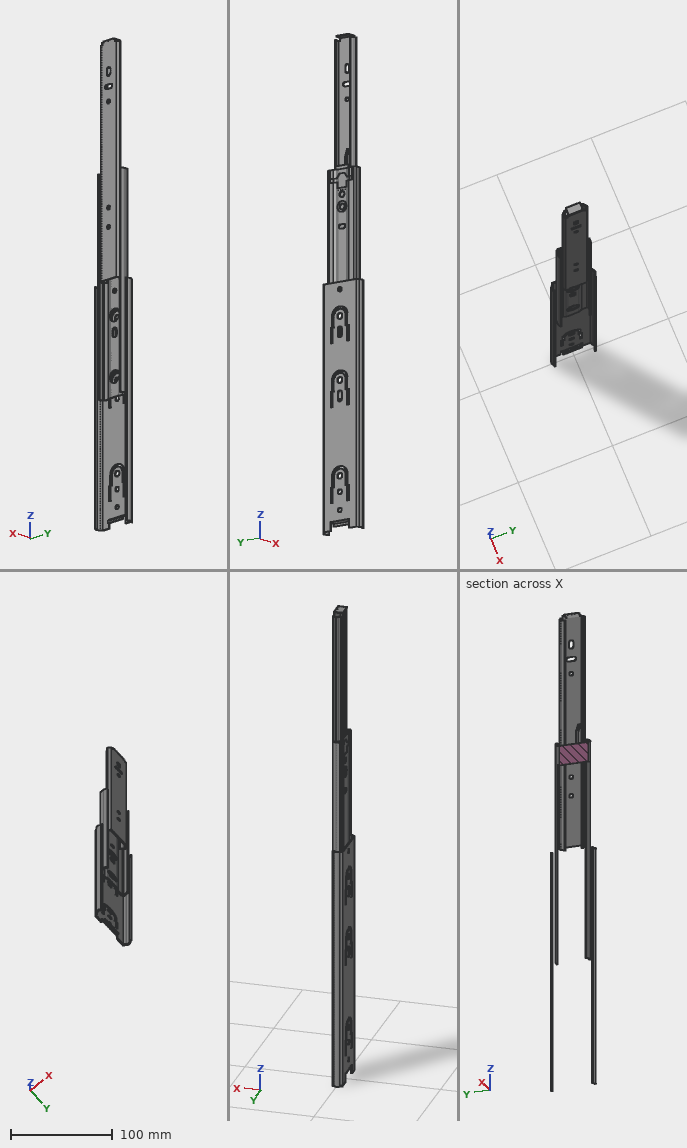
import cadquery as cq

SHEET = 1.25

OUTER_TOP = 250.5
OUTER_BACK = -6.5
OUTER_LIP_X = 4.0
OUTER_WEB_HALF = 20.5
OUTER_RACE_EDGE = 22.0
OUTER_HALF = 23.5
OUTER_RACE_START = -3.75
OUTER_RACE_END = 2.25
FOOT_LENGTH = 1.0
NOTCH_HALF = 11.5
NOTCH_TOP = 10.0
TAB_HALF = 10.0
TAB_BOTTOM = 5.5
TAB_BEND = 8.0
TAB_SHIFT = 2.5

TONGUE_Z = (216.0, 151.5, 55.0)
ARCH_RADIUS = 8.5
SLOT_WIDTH = 2.5
UPPER_LEG = 10.5
LEG_SPREAD = 10.0
LOWER_LEG = 26.0
TONGUE_HOLE = 6.0
LOWER_HOLE_DROP = 16.0
LOWER_HOLE = 5.0
LONG_HOLE = 11.0
OUTER_END_HOLES = (20.5, 243.0)
END_HOLE = 4.5

MIDDLE_BOTTOM = 133.5
MIDDLE_TOP = 365.0
MIDDLE_BACK = -4.25
MIDDLE_LIP_X = 5.5
MIDDLE_HALF = 17.75
MIDDLE_WEB_HALF = 15.75
MIDDLE_CORNER_X = -2.5
MIDDLE_CURL_START = 1.5
MIDDLE_LIP_HALF = 16.0
GROOVE_DEPTH = 1.25
GROOVE_HALF = 9.75
GROOVE_FLOOR_HALF = 5.5
GROOVE_BEND_HALF = 7.0
GROOVE_BEND = 0.25
MIDDLE_HOLES = ((154.5, 13.0), (218.0, 13.0), (243.0, 4.5), (339.5, 6.0))
MIDDLE_SLOT_LENGTH = 10.0
MIDDLE_SLOT_WIDTH = 6.0
CROSS_SLOT_Z = 307.0
CROSS_SLOT_LENGTH = 8.0
CROSS_SLOT_WIDTH = 4.5

COUNTERBORE_Z = 327.0
COUNTERBORE_DIAMETER = 11.0
COUNTERBORE_DEPTH = 0.5
COUNTERBORE_HOLE = 6.0

INNER_BOTTOM = 253.0
INNER_TOP = 496.5
INNER_BACK = 6.5
INNER_LIP_X = -1.25
INNER_HALF = 13.25
INNER_SHOULDER_X = 3.5
INNER_WEB_HALF = 11.0
INNER_CURL_START = 2.5
INNER_CURL_X = 1.0
INNER_CURL_HALF = 12.0
INNER_LIP_HALF = 9.75
SLIDE_LENGTH = 500
END_RISER_HALF = 9.0
END_TAB_HALF = 7.5
END_TAB_TIP_X = -2.5
END_TAB_SHEET = 1.0
TALL_SLOT_Z = 467.5
TALL_SLOT_LENGTH = 9.0
WIDE_SLOT_Z = 452.0
WIDE_SLOT_LENGTH = 10.0
INNER_SLOT_WIDTH = 4.5
INNER_HOLES = (436.5, CROSS_SLOT_Z, COUNTERBORE_Z)
INNER_HOLE = 4.0

RETAINER_BOTTOM = 344.0
RETAINER_WEB = 0.5
RETAINER_FRONT = 3.0
RETAINER_HALF = 15.5
RETAINER_GAP = 0.75

BUMPER_SKIN = 0.5
BUMPER_HALF = 13.5
RECESS_BOTTOM = 352.0
FLOOR_RECESS_BOTTOM = 346.0
BUMPER_BOTTOM = 356.0
BUMPER_ARCH_HALF = 6.5
BUMPER_ARCH_TOP_HALF = 3.0
BUMPER_ARCH_TOP = 360.5
HEAD_HALF = 8.0
HEAD_TOP = 368.5
HEAD_THICKNESS = 1.0
LEVER_WIDTH = 2.5
LEVER_THICKNESS = 1.0
LEVER_BOTTOM = 360.0
LEVER_Y = -2.5
LEVER_TIP_Y = -5.0
LEVER_KNEE = 377.0
LEVER_TOP = 384.5

GROOVE_X = MIDDLE_BACK + GROOVE_DEPTH
RETAINER_X = GROOVE_X + SHEET
LEVER_X = RETAINER_X + RETAINER_WEB
HEAD_X = (GROOVE_X, GROOVE_X + HEAD_THICKNESS)
REACH = 100


def block(x_range, y_range, z_range):
    """Axis-aligned box between the given limits."""
    sizes = [high - low for low, high in (x_range, y_range, z_range)]
    lows = (x_range[0], y_range[0], z_range[0])
    return cq.Workplane("XY").box(*sizes, centered=False).translate(lows)


def outer_outline():
    """Closed outline round the outer rail, with a rounded ball race along each side."""
    race_x = (OUTER_RACE_START + OUTER_RACE_END) / 2
    return (
        cq.Workplane("XY")
        .moveTo(OUTER_BACK, 0)
        .lineTo(OUTER_BACK, OUTER_WEB_HALF)
        .lineTo(OUTER_RACE_START, OUTER_RACE_EDGE)
        .threePointArc((race_x, OUTER_HALF), (OUTER_RACE_END, OUTER_RACE_EDGE))
        .lineTo(OUTER_LIP_X, OUTER_RACE_EDGE)
        .lineTo(OUTER_LIP_X, 0)
        .mirrorX()
    )


def middle_outline():
    """Closed outline round the middle rail, with a shallow groove along its web."""
    return (
        cq.Workplane("XY")
        .moveTo(GROOVE_X, 0)
        .lineTo(GROOVE_X, GROOVE_FLOOR_HALF)
        .lineTo(GROOVE_X - GROOVE_BEND, GROOVE_BEND_HALF)
        .lineTo(MIDDLE_BACK, GROOVE_HALF)
        .lineTo(MIDDLE_BACK, MIDDLE_WEB_HALF)
        .lineTo(MIDDLE_CORNER_X, MIDDLE_HALF)
        .lineTo(MIDDLE_CURL_START, MIDDLE_HALF)
        .tangentArcPoint((MIDDLE_LIP_X, MIDDLE_LIP_HALF), relative=False)
        .lineTo(MIDDLE_LIP_X, 0)
        .mirrorX()
    )


def inner_outline():
    """Closed outline round the inner rail, with sloping shoulders and inward-curled lips."""
    return (
        cq.Workplane("XY")
        .moveTo(INNER_LIP_X, 0)
        .lineTo(INNER_LIP_X, INNER_LIP_HALF)
        .lineTo(INNER_CURL_X, INNER_CURL_HALF)
        .lineTo(INNER_CURL_START, INNER_HALF)
        .lineTo(INNER_SHOULDER_X, INNER_HALF)
        .lineTo(INNER_BACK, INNER_WEB_HALF)
        .lineTo(INNER_BACK, 0)
        .mirrorX()
    )


def channel(outline, bottom, top, mouth):
    """Sheet following an outline, with a mouth given by its X limits and half width."""
    height = top - bottom
    skin = outline().extrude(height).cut(outline().offset2D(-SHEET).extrude(height))
    low_x, high_x, half = mouth
    opening = block((low_x, high_x), (-half, half), (0, height))
    return skin.cut(opening).translate((0, 0, bottom))


def side_plane():
    """Sketch plane with Y and Z as its axes, far out on the -X side."""
    return cq.Workplane("YZ", origin=(-REACH / 2, 0, 0))


def drill(z, diameter):
    """Cutter for a round hole on the centre line, right through along X."""
    return side_plane().center(0, z).circle(diameter / 2).extrude(REACH)


def slot(z, length, width, angle):
    """Cutter for a round-ended slot on the centre line; angle 90 stands it along Z."""
    return side_plane().center(0, z).slot2D(length, width, angle).extrude(REACH)


def tongue_slot(z):
    """Cutter for a U-shaped slot whose legs step outwards lower down."""
    half = SLOT_WIDTH / 2
    outer_radius = ARCH_RADIUS + half
    inner_radius = ARCH_RADIUS - half
    arch = (
        side_plane()
        .moveTo(-outer_radius, z - UPPER_LEG)
        .lineTo(-outer_radius, z)
        .threePointArc((0, z + outer_radius), (outer_radius, z))
        .lineTo(outer_radius, z - UPPER_LEG)
        .lineTo(inner_radius, z - UPPER_LEG)
        .lineTo(inner_radius, z)
        .threePointArc((0, z + inner_radius), (-inner_radius, z))
        .lineTo(-inner_radius, z - UPPER_LEG)
        .close()
        .extrude(REACH)
    )
    cutter = arch
    for side in (-1, 1):
        y = side * LEG_SPREAD
        leg = block((-REACH / 2, REACH / 2), (y - half, y + half), (z - LOWER_LEG, z - UPPER_LEG))
        cutter = cutter.union(leg)
    return cutter


def end_tab():
    """Tab in the foot notch of the outer rail, bent inwards towards +X."""
    inset_x = OUTER_BACK + TAB_SHIFT
    return (
        cq.Workplane("XZ", origin=(0, TAB_HALF, 0))
        .moveTo(OUTER_BACK, NOTCH_TOP)
        .lineTo(OUTER_BACK + SHEET, NOTCH_TOP)
        .lineTo(inset_x + SHEET, TAB_BEND)
        .lineTo(inset_x + SHEET, TAB_BOTTOM)
        .lineTo(inset_x, TAB_BOTTOM)
        .lineTo(inset_x, TAB_BEND)
        .close()
        .extrude(2 * TAB_HALF)
    )


def make_outer_rail():
    mouth = (OUTER_LIP_X - SHEET, OUTER_LIP_X, OUTER_RACE_EDGE - SHEET)
    rail = channel(outer_outline, 0, OUTER_TOP, mouth)
    rail = rail.cut(block((-REACH, REACH), (-REACH, OUTER_WEB_HALF), (0, FOOT_LENGTH)))
    rail = rail.cut(block((-REACH, 0), (-NOTCH_HALF, NOTCH_HALF), (0, NOTCH_TOP)))
    rail = rail.union(end_tab())
    for z in TONGUE_Z:
        rail = rail.cut(tongue_slot(z)).cut(drill(z, TONGUE_HOLE))
    for z in TONGUE_Z[:2]:
        rail = rail.cut(slot(z - LOWER_HOLE_DROP, LONG_HOLE, LOWER_HOLE, 90))
    rail = rail.cut(drill(TONGUE_Z[2] - LOWER_HOLE_DROP, LOWER_HOLE))
    for z in OUTER_END_HOLES:
        rail = rail.cut(drill(z, END_HOLE))
    return rail


def web_skin(bottom, half):
    """Thin layer on the -X face of the middle web, from the given height to the rail's top."""
    height = MIDDLE_TOP - bottom
    layer = middle_outline().extrude(height)
    core = middle_outline().extrude(height).translate((BUMPER_SKIN, 0, 0))
    strip = block((-REACH, 0), (-half, half), (0, height))
    return layer.cut(core).intersect(strip).translate((0, 0, bottom))


def make_middle_rail():
    mouth = (MIDDLE_LIP_X - SHEET, MIDDLE_LIP_X, MIDDLE_LIP_HALF - SHEET)
    rail = channel(middle_outline, MIDDLE_BOTTOM, MIDDLE_TOP, mouth)
    rail = rail.cut(web_skin(RECESS_BOTTOM, BUMPER_HALF))
    rail = rail.cut(web_skin(FLOOR_RECESS_BOTTOM, GROOVE_FLOOR_HALF))
    for z, diameter in MIDDLE_HOLES:
        rail = rail.cut(drill(z, diameter))
    counterbore = drill(COUNTERBORE_Z, COUNTERBORE_DIAMETER).intersect(
        block((-REACH, GROOVE_X + COUNTERBORE_DEPTH), (-REACH, REACH), (0, SLIDE_LENGTH))
    )
    rail = rail.cut(counterbore).cut(drill(COUNTERBORE_Z, COUNTERBORE_HOLE))
    rail = rail.cut(slot(TONGUE_Z[0] - LOWER_HOLE_DROP, MIDDLE_SLOT_LENGTH, MIDDLE_SLOT_WIDTH, 90))
    return rail.cut(slot(CROSS_SLOT_Z, CROSS_SLOT_LENGTH, CROSS_SLOT_WIDTH, 0))


def top_tab():
    """Upper end of the inner web, bent over towards -X as a tab."""
    tab_z = SLIDE_LENGTH - END_TAB_SHEET
    web_x = (INNER_BACK - SHEET, INNER_BACK)
    tab_x = (END_TAB_TIP_X, INNER_BACK)
    riser = block(web_x, (-END_RISER_HALF, END_RISER_HALF), (INNER_TOP, tab_z))
    tab = block(tab_x, (-END_TAB_HALF, END_TAB_HALF), (tab_z, SLIDE_LENGTH))
    return riser.union(tab)


def make_inner_rail():
    mouth = (INNER_LIP_X, INNER_LIP_X + SHEET, INNER_LIP_HALF - SHEET)
    rail = channel(inner_outline, INNER_BOTTOM, INNER_TOP, mouth).union(top_tab())
    rail = rail.cut(slot(TALL_SLOT_Z, TALL_SLOT_LENGTH, INNER_SLOT_WIDTH, 90))
    rail = rail.cut(slot(WIDE_SLOT_Z, WIDE_SLOT_LENGTH, INNER_SLOT_WIDTH, 0))
    for z in INNER_HOLES:
        rail = rail.cut(drill(z, INNER_HOLE))
    return rail


def make_retainer():
    """Ball retainer between the middle and inner rails: a short channel round the inner rail."""
    z_range = (RETAINER_BOTTOM, MIDDLE_TOP)
    inside = INNER_HALF + RETAINER_GAP
    body = block((RETAINER_X, RETAINER_FRONT), (-RETAINER_HALF, RETAINER_HALF), z_range)
    return body.cut(block((LEVER_X, RETAINER_FRONT), (-inside, inside), z_range))


def make_bumper():
    """Bumper flush in the middle web, with an arched lower edge and a head above the rail."""
    arch = (
        side_plane()
        .polyline([
            (-BUMPER_ARCH_HALF, BUMPER_BOTTOM),
            (-BUMPER_ARCH_TOP_HALF, BUMPER_ARCH_TOP),
            (BUMPER_ARCH_TOP_HALF, BUMPER_ARCH_TOP),
            (BUMPER_ARCH_HALF, BUMPER_BOTTOM),
        ])
        .close()
        .extrude(REACH)
    )
    head = block(HEAD_X, (-HEAD_HALF, HEAD_HALF), (MIDDLE_TOP, HEAD_TOP))
    return web_skin(BUMPER_BOTTOM, BUMPER_HALF).cut(arch).union(head)


def make_lever():
    """Flat release lever lying on the web of the retainer, leaning to -Y above its knee."""
    return (
        cq.Workplane("YZ", origin=(LEVER_X, 0, 0))
        .polyline([
            (LEVER_Y, LEVER_BOTTOM),
            (LEVER_Y, LEVER_KNEE),
            (LEVER_TIP_Y, LEVER_TOP),
            (LEVER_TIP_Y - LEVER_WIDTH, LEVER_TOP),
            (LEVER_Y - LEVER_WIDTH, LEVER_KNEE),
            (LEVER_Y - LEVER_WIDTH, LEVER_BOTTOM),
        ])
        .close()
        .extrude(LEVER_THICKNESS)
    )


outer_rail = make_outer_rail()
middle_rail = make_middle_rail()
inner_rail = make_inner_rail()
retainer = make_retainer()
bumper = make_bumper()
lever = make_lever()

bodies = (outer_rail, middle_rail, inner_rail, retainer, bumper, lever)
result = cq.Compound.makeCompound([body.solids().val() for body in bodies])